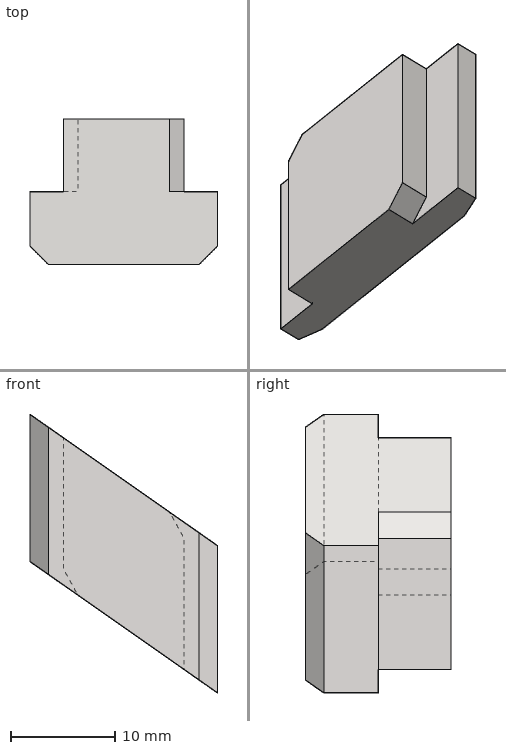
import cadquery as cq
import math

flange_width = 18.0
total_height = 26.75
total_depth = 14.0
flange_depth = total_depth / 2
stem_width = 11.6
slope_angle = math.radians(35)
flange_chamfer = 1.77
stem_chamfer_rise = 1.55
stem_chamfer_run = 1.4

slope = math.tan(slope_angle)
side_height = total_height - flange_width * slope


def edge_height(x):
    """Height of the sloping top face at x; the bottom face mirrors it through the centre."""
    return side_height / 2 - x * slope


def make_flange():
    """Parallelogram plate with both front vertical edges chamfered at 45 degrees."""
    half = flange_width / 2
    outline = [
        (-half, edge_height(-half)),
        (half, edge_height(half)),
        (half, -edge_height(-half)),
        (-half, -edge_height(half)),
    ]
    plate = cq.Workplane("XZ").polyline(outline).close().extrude(-flange_depth)
    return plate.faces("<Y").edges("|Z").chamfer(flange_chamfer)


def make_stem():
    """Narrower parallelogram block with its two obtuse corners cut off."""
    half = stem_width / 2
    cut_x = half - stem_chamfer_run
    cut_z = edge_height(half) - stem_chamfer_rise
    half_outline = [
        (-half, edge_height(-half)),
        (cut_x, edge_height(cut_x)),
        (half, cut_z),
    ]
    outline = half_outline + [(-x, -z) for x, z in half_outline]
    stem = cq.Workplane("XZ", origin=(0, flange_depth, 0)).polyline(outline).close()
    return stem.extrude(flange_depth - total_depth)


result = make_flange().union(make_stem())